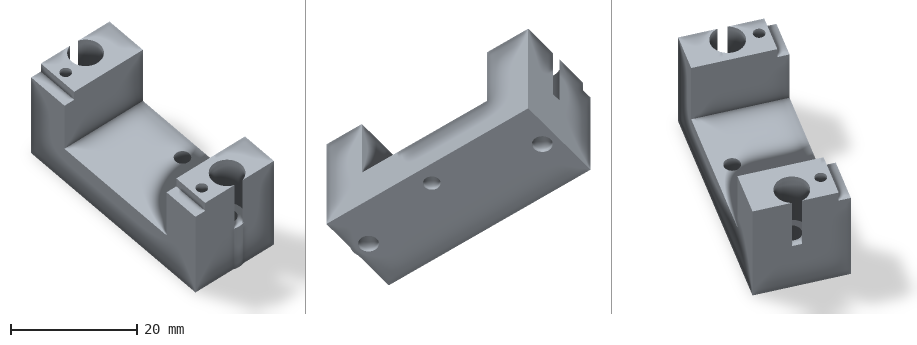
import cadquery as cq

overall_length = 40.4
block_length = 40.2
block_width = 16.28
block_height = 19.05

floor_height = 7.45
left_post_length = 8.15
right_post_length = 7.05
channel_length = block_length - left_post_length - right_post_length

step_width = 2.0
step_depth = 1.8

screw_edge_distance = 2.8
screw_xs = (screw_edge_distance, block_length - screw_edge_distance)
screw_y = 8.93
screw_diameter = 3.3
counterbore_diameter = 5.8
seat_height = 9.25
boss_diameter = 2 * (overall_length - screw_xs[1])

pin_xs = (4.05, 37.32)
pin_y = 3.75
pin_diameter = 2.0
pin_depth = 4.05

floor_hole_x = 21.7
floor_hole_y = 13.0
floor_hole_diameter = 2.8


def box(length, width, height, corner):
    """Box with its lowest corner at the given point."""
    return cq.Workplane("XY").box(length, width, height, centered=False).translate(corner)


def cylinder(x, y, bottom, top, diameter):
    """Vertical cylinder between two heights."""
    return cq.Workplane("XY", origin=(x, y, bottom)).circle(diameter / 2).extrude(top - bottom)


def make_body():
    """Two stepped posts joined by a thick floor."""
    body = box(block_length, block_width, block_height, (0, 0, 0))
    channel = box(channel_length, block_width, block_height - floor_height,
                  (left_post_length, 0, floor_height))
    step = box(block_length, step_width, step_depth, (0, 0, block_height - step_depth))
    return body.cut(channel).cut(step)


result = make_body()

result = result.union(cylinder(screw_xs[1], screw_y, 0, seat_height, boss_diameter))

for screw_x in screw_xs:
    result = result.cut(cylinder(screw_x, screw_y, 0, block_height, screw_diameter))
    result = result.cut(cylinder(screw_x, screw_y, seat_height, block_height, counterbore_diameter))

for pin_x in pin_xs:
    result = result.cut(cylinder(pin_x, pin_y, block_height - pin_depth, block_height, pin_diameter))

result = result.cut(cylinder(floor_hole_x, floor_hole_y, 0, floor_height, floor_hole_diameter))